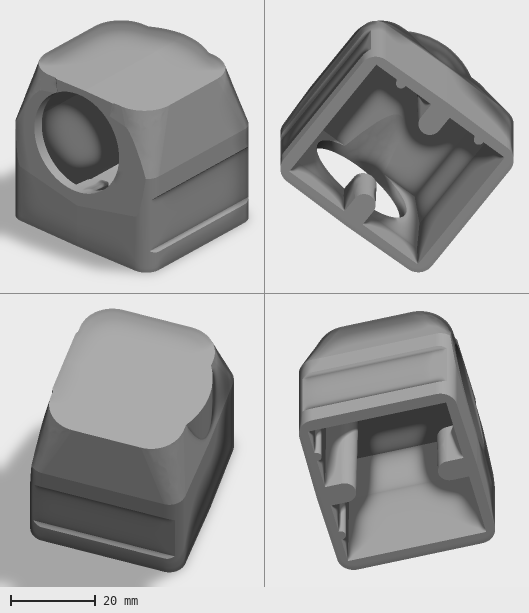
import cadquery as cq
import math

length = 44.0
width = 39.0
height = 41.0
shoulder_height = 25.3
base_corner_radius = 4.0
top_corner_radius = 8.15
swell_radius = 19.05
draft = math.tan(math.radians(1))
taper = math.tan(math.radians(10.2))
front_slant = math.tan(math.radians(5))
slant_start_height = 11.0

groove_bottom = 4.95
groove_top = 20.05
groove_depth = 0.8

side_wall = 2.9
end_wall = 2.65
ceiling_height = 37.95

post_ceiling_radius = 3.4
post_center_y = 12.75
pin_radius = 1.2
pin_x = 11.55
pin_inset = 0.2

opening_x = -1.35
opening_z = 26.95
opening_half_width = 13.35
opening_half_height = 12.5
opening_end_y = 2.2

half_length = length / 2
half_width = width / 2


def wall_outline(inset, corner_radius):
    """Rounded rectangle whose front and back sides rise to a shallow ridge at x = 0."""
    x = half_length - inset
    ridge_y = half_width - inset
    corner_y = ridge_y - x * draft
    points = [(-x, -corner_y), (0, -ridge_y), (x, -corner_y),
              (x, corner_y), (0, ridge_y), (-x, corner_y)]
    outline = cq.Sketch().polygon(points + points[:1])
    return outline.vertices("<X or >X").fillet(corner_radius)


def front_face_y(z):
    """Y of the sloping front face at height z."""
    return -half_width + (z - slant_start_height) * front_slant


def make_shell():
    taper_height = height - shoulder_height
    base = wall_outline(0, base_corner_radius)
    top = wall_outline(taper_height * taper, top_corner_radius)

    lower = cq.Workplane().placeSketch(base).extrude(shoulder_height)
    upper = (
        cq.Workplane()
        .placeSketch(
            base.moved(cq.Location(cq.Vector(0, 0, shoulder_height))),
            top.moved(cq.Location(cq.Vector(0, 0, height))),
        )
        .loft(ruled=True)
    )
    swell = (
        cq.Workplane(origin=(0, 0, shoulder_height))
        .circle(swell_radius)
        .extrude(taper_height)
    )
    shell = lower.union(upper).union(swell)

    eave_height = height - half_length * draft
    roof_profile = [(-half_length, 0), (half_length, 0), (half_length, eave_height),
                    (0, height), (-half_length, eave_height)]
    roof = cq.Workplane("XZ").polyline(roof_profile).close().extrude(half_width, both=True)
    shell = shell.intersect(roof)

    slope_profile = [(-half_width, slant_start_height), (front_face_y(height), height),
                     (-half_width, height)]
    slope = cq.Workplane("YZ").polyline(slope_profile).close().extrude(half_length, both=True)
    return shell.cut(slope)


def make_groove(side):
    """Groove with 45 degree flanks along one side wall; side is -1 or 1."""
    outer_x = side * half_length
    floor_x = side * (half_length - groove_depth)
    profile = [(outer_x, groove_bottom), (floor_x, groove_bottom + groove_depth),
               (floor_x, groove_top - groove_depth), (outer_x, groove_top)]
    return cq.Workplane("XZ").polyline(profile).close().extrude(half_width, both=True)


def inner_half_size(base_size, z):
    """Half size of the cavity at height z: slight draft, then the taper of the walls."""
    straight = min(z, shoulder_height)
    return base_size - straight * draft - (z - straight) * taper


def make_post(side):
    """Round-ended rib of full cavity height on the front (-1) or back (1) wall."""
    foot_radius = post_ceiling_radius - ceiling_height * draft
    center_y = side * post_center_y
    wall_y = side * (half_width - end_wall / 2)
    cone = cq.Workplane(obj=cq.Solid.makeCone(
        foot_radius, post_ceiling_radius, ceiling_height, pnt=cq.Vector(0, center_y, 0)))
    web_profile = [(-foot_radius, 0), (foot_radius, 0),
                   (post_ceiling_radius, ceiling_height), (-post_ceiling_radius, ceiling_height)]
    web = (
        cq.Workplane("XZ", origin=(0, center_y, 0))
        .polyline(web_profile)
        .close()
        .extrude(center_y - wall_y)
    )
    return cone.union(web)


def make_cavity():
    base_x = half_length - side_wall
    base_y = half_width - end_wall
    levels = [0, shoulder_height, ceiling_height]

    side_profile = [(inner_half_size(base_x, z), z) for z in levels]
    side_profile += [(-x, z) for x, z in reversed(side_profile)]
    across = cq.Workplane("XZ").polyline(side_profile).close().extrude(half_width, both=True)

    end_profile = [(inner_half_size(base_y, z), z) for z in levels]
    end_profile += [(front_face_y(ceiling_height) + end_wall, ceiling_height),
                    (-base_y, slant_start_height), (-base_y, 0)]
    along = cq.Workplane("YZ").polyline(end_profile).close().extrude(half_length, both=True)

    pin_y = inner_half_size(base_y, shoulder_height) + pin_inset
    pins = (
        cq.Workplane()
        .pushPoints([(-pin_x, pin_y), (pin_x, pin_y)])
        .circle(pin_radius)
        .extrude(ceiling_height)
    )
    return across.intersect(along).cut(make_post(-1)).cut(make_post(1)).cut(pins)


def make_opening():
    """Oval hole square to the sloping front face."""
    plane = cq.Plane(origin=(opening_x, front_face_y(opening_z), opening_z),
                     xDir=(1, 0, 0), normal=(0, 1, -front_slant))
    depth = opening_end_y - front_face_y(opening_z)
    oval = cq.Workplane(plane).ellipse(opening_half_width, opening_half_height)
    return oval.extrude(depth)


result = make_shell().cut(make_cavity()).cut(make_opening())
for groove_side in (-1, 1):
    result = result.cut(make_groove(groove_side))